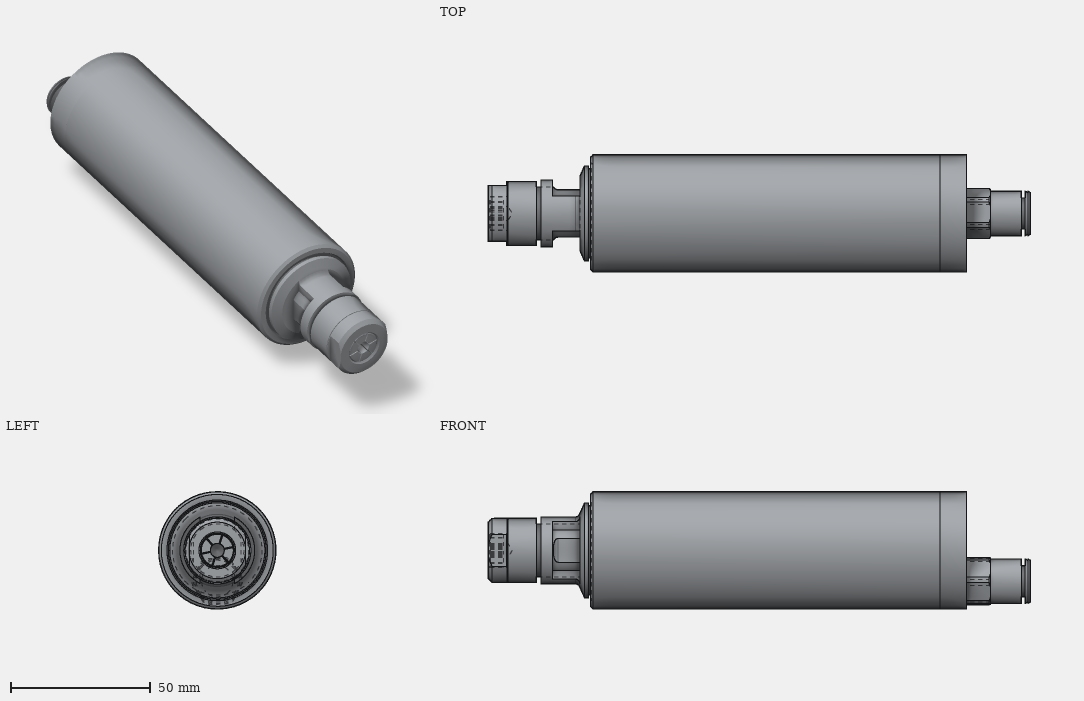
import cadquery as cq
import math


NUT_END = 7.1
SHAFT_COLLAR_END = 17.2
FRONT_CAP_START = 18.8
WINDOW_START = 23.0
CONE_START = 32.2
WINDOW_END = 32.8
RIM_START = 34.4
RIM_END = 35.9
HOUSING_START = 36.5
REAR_CAP_START = 161.4
REAR_CAP_END = 171.0
HEX_END = 179.5
FITTING_END = 190.5
RELEASE_FLANGE_START = 191.9
OVERALL_LENGTH = 193.72

NUT_DIA = 23.0
NUT_FRONT_CHAMFER = 1.4
NUT_REAR_CHAMFER = 0.3
NUT_FLATS = 20.0
NUT_FLAT_LENGTH = 6.6
NUT_MOUTH_DIA = 13.16
NUT_BORE_DIA = 12.2

COLLET_FACE_DIA = 11.45
COLLET_BORE_DIA = 5.0
BORE_POINT_ANGLE = 118.0
COLLET_RECESS = (NUT_MOUTH_DIA - NUT_BORE_DIA) / 2
COLLET_TAPER = (NUT_BORE_DIA - COLLET_FACE_DIA) / 2
COLLET_SLOT_COUNT = 6
COLLET_SLOT_WIDTH = 0.4
COLLET_SLOT_DEPTH = 5.0
COLLET_SLOT_ANGLE = 18.0

SHAFT_DIA = 19.0
SHAFT_FLATS = 17.0
SHAFT_FLAT_RADIUS = 2.0

COLLAR_DIA = 24.0
WINDOW_LAND_WIDTH = 12.4
RIM_DIA = 34.0
SPIGOT_DIA = 32.0
COLLAR_FILLET = 1.5

HOUSING_DIA = 42.0
HOUSING_CHAMFER = 1.0
HOUSING_RECESS_DIA = 36.0
HOUSING_RECESS_CHAMFER = 0.5
HOUSING_RECESS_DEPTH = 1.0

FITTING_Z = -11.0
FITTING_DIA = 16.0
HEX_FLATS = 16.5
HEX_CORNER_DIA = 18.0
HEX_CHAMFER = 0.5
HEX_ANGLE = -3.0
RELEASE_STEM_DIA = 11.2
RELEASE_LIP_COUNT = 2
RELEASE_LIP_END_DIA = 15.0


def cylinder(x_start, x_end, diameter, z=0.0):
    """A solid cylinder along X."""
    plane = cq.Workplane("YZ", origin=(x_start, 0, z))
    return plane.circle(diameter / 2).extrude(x_end - x_start)


def cone(x_start, x_end, start_diameter, end_diameter, z=0.0):
    """A solid cone or frustum along X."""
    solid = cq.Solid.makeCone(
        start_diameter / 2, end_diameter / 2, x_end - x_start, cq.Vector(x_start, 0, z), cq.Vector(1, 0, 0)
    )
    return cq.Workplane(solid)


def side_cuts(x_start, x_end, width_across, run_out_radius=0.0):
    """Two blocks, one on each side, that leave only width_across along Y.

    A run-out radius rounds the front end of each flat up to the surface.
    """
    block = (
        cq.Workplane("XY")
        .box(x_end - x_start, HOUSING_DIA, HOUSING_DIA, centered=(False, False, True))
        .translate((x_start, width_across / 2, 0))
    )
    if run_out_radius:
        block = block.edges("|Z and <X and <Y").fillet(run_out_radius)
    return block.union(block.mirror("XZ"))


def make_collet_nut():
    nut = cylinder(0, NUT_END, NUT_DIA)
    nut = nut.faces("<X").chamfer(NUT_FRONT_CHAMFER)
    nut = nut.faces(">X").chamfer(NUT_REAR_CHAMFER)
    nut = nut.cut(side_cuts(0, NUT_FLAT_LENGTH, NUT_FLATS))
    nut = nut.cut(cylinder(0, NUT_END, NUT_BORE_DIA))
    return nut.cut(cone(0, COLLET_RECESS, NUT_MOUTH_DIA, NUT_BORE_DIA))


def make_collet():
    collet = cylinder(COLLET_RECESS, NUT_END, NUT_BORE_DIA).faces("<X").chamfer(COLLET_TAPER)
    collet = collet.cut(cylinder(COLLET_RECESS, NUT_END, COLLET_BORE_DIA))
    for index in range(COLLET_SLOT_COUNT):
        slot = (
            cq.Workplane("XY")
            .box(COLLET_SLOT_DEPTH, COLLET_SLOT_WIDTH, NUT_BORE_DIA, centered=(False, True, False))
            .translate((COLLET_RECESS, 0, 0))
            .rotate((0, 0, 0), (1, 0, 0), COLLET_SLOT_ANGLE + index * 360 / COLLET_SLOT_COUNT)
        )
        collet = collet.cut(slot)
    return collet


def make_shaft():
    shaft = cylinder(NUT_END, SHAFT_COLLAR_END, NUT_DIA)
    shaft = shaft.union(cylinder(SHAFT_COLLAR_END, WINDOW_END, SHAFT_DIA))
    shaft = shaft.cut(side_cuts(WINDOW_START, WINDOW_END, SHAFT_FLATS, SHAFT_FLAT_RADIUS))
    point_depth = COLLET_BORE_DIA / 2 / math.tan(math.radians(BORE_POINT_ANGLE / 2))
    return shaft.cut(cone(NUT_END, NUT_END + point_depth, COLLET_BORE_DIA, 0))


def make_front_cap():
    outline = [
        (FRONT_CAP_START, 0),
        (FRONT_CAP_START, COLLAR_DIA / 2),
        (CONE_START, COLLAR_DIA / 2),
        (RIM_START, RIM_DIA / 2),
        (RIM_END, RIM_DIA / 2),
        (RIM_END, SPIGOT_DIA / 2),
        (HOUSING_START + HOUSING_RECESS_DEPTH, SPIGOT_DIA / 2),
        (HOUSING_START + HOUSING_RECESS_DEPTH, 0),
    ]
    cap = cq.Workplane("XY").polyline(outline).close().revolve(360, (0, 0, 0), (1, 0, 0))
    cap = cap.edges(cq.selectors.NearestToPointSelector((CONE_START, 0, 0))).fillet(COLLAR_FILLET)
    cap = cap.cut(side_cuts(WINDOW_START, WINDOW_END, WINDOW_LAND_WIDTH))
    return cap.cut(cylinder(FRONT_CAP_START, WINDOW_END, SHAFT_DIA))


def make_housing():
    housing = cylinder(HOUSING_START, REAR_CAP_START, HOUSING_DIA).faces("<X").chamfer(HOUSING_CHAMFER)
    recess = cylinder(HOUSING_START, HOUSING_START + HOUSING_RECESS_DEPTH, HOUSING_RECESS_DIA)
    return housing.cut(recess.faces(">X").chamfer(HOUSING_RECESS_CHAMFER))


def make_rear_cap():
    return cylinder(REAR_CAP_START, REAR_CAP_END, HOUSING_DIA)


def make_fitting():
    corner_dia = HEX_FLATS / math.cos(math.pi / 6)
    hexagon = (
        cq.Workplane("YZ", origin=(REAR_CAP_END, 0, FITTING_Z))
        .transformed(rotate=(0, 0, HEX_ANGLE))
        .polygon(6, corner_dia)
        .extrude(HEX_END - REAR_CAP_END)
    )
    envelope = cylinder(REAR_CAP_END, HEX_END, HEX_CORNER_DIA, FITTING_Z).faces(">X").chamfer(HEX_CHAMFER)
    return hexagon.intersect(envelope).union(cylinder(HEX_END, FITTING_END, FITTING_DIA, FITTING_Z))


def make_release_ring():
    ring = cylinder(FITTING_END, RELEASE_FLANGE_START, RELEASE_STEM_DIA, FITTING_Z)
    lip_length = (OVERALL_LENGTH - RELEASE_FLANGE_START) / RELEASE_LIP_COUNT
    for index in range(RELEASE_LIP_COUNT):
        x_start = RELEASE_FLANGE_START + index * lip_length
        lip = cone(x_start, x_start + lip_length, FITTING_DIA, RELEASE_LIP_END_DIA, FITTING_Z)
        ring = ring.union(lip)
    return ring


collet_nut = make_collet_nut()
collet = make_collet()
shaft = make_shaft()
front_cap = make_front_cap()
housing = make_housing()
rear_cap = make_rear_cap()
fitting = make_fitting()
release_ring = make_release_ring()

result = cq.Compound.makeCompound([
    collet_nut.val(),
    collet.val(),
    shaft.val(),
    front_cap.val(),
    housing.val(),
    rear_cap.val(),
    fitting.val(),
    release_ring.val(),
])